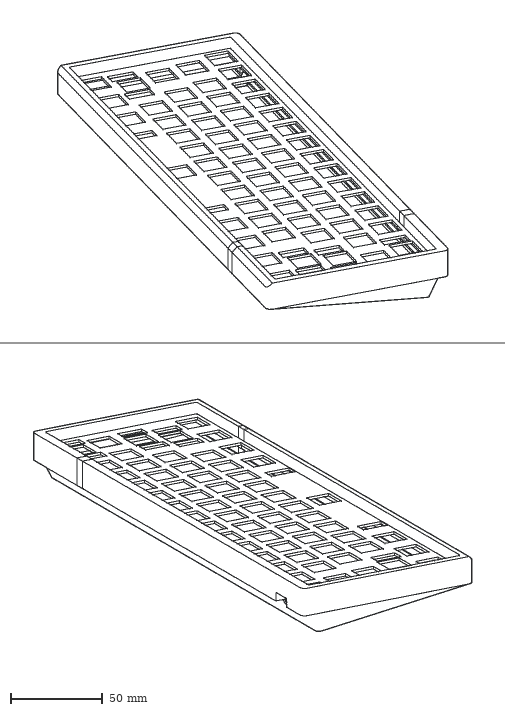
import cadquery as cq

LENGTH = 294.8
DEPTH = 108.2
HEIGHT = 27.5

FRAME_BOTTOM = 11.5
CORNER_RADIUS = 3.0
FRONT_CHAMFER = 3.0
SIDE_GAP = 0.5
REAR_GAP = 0.3
OPENING_RADIUS = 1.0

BAND_X = 95.2
BAND_WIDTH = 6.0

KEY_QUARTERS = [
    [4] * 13 + [8],
    [6] + [4] * 12 + [6],
    [7] + [4] * 11 + [9],
    [9] + [4] * 10 + [11],
    [5] * 3 + [25] + [5] * 4,
]
COLUMNS = 15
ROWS = len(KEY_QUARTERS)
PLATE_LENGTH = 285.5
KEY_PITCH = PLATE_LENGTH / COLUMNS
KEY_CUTOUT = 14.0
STABILIZED_QUARTERS = 8
SPACEBAR_QUARTERS = 25
STABILIZER_WIDTH = 6.8
STABILIZER_DEPTH = 15.0
STABILIZER_DROP = 1.5
STABILIZER_OFFSET = 11.8
SPACEBAR_STABILIZER_OFFSET = 50.0

PLATE_TOP = 21.0
PLATE_THICKNESS = 1.5
PLATE_DEPTH = ROWS * KEY_PITCH
PLATE_BOTTOM = PLATE_TOP - PLATE_THICKNESS

OPENING_LENGTH = PLATE_LENGTH + 2 * SIDE_GAP
OPENING_DEPTH = PLATE_DEPTH + 2 * REAR_GAP
LEDGE_WIDTH = 1.5
LEDGE_BOTTOM = 16.5

BASE_LENGTH = 291.8
BASE_REAR_TOP_Y = 49.5
BASE_REAR_BOTTOM_Y = 43.5
BASE_FRONT_Y = -52.8
BASE_FRONT_BOTTOM = 11.0
BASE_RADIUS = 2.7

FLOOR_Z = 9.5
FLOOR_CHAMFER = 1.0
SLOPE_START_Y = -29.5
SLOPE_BREAK_Y = -38.5
SLOPE_BREAK_RISE = 0.5
SLOPE_END_RISE = 1.6

PORT_X = -124.0
PORT_WIDTH = 11.8
PORT_FRONT_Y = 37.7
PORT_BOTTOM = 8.8
PORT_TOP = 16.5
PORT_CORNER_RADIUS = 1.0


def block(length, depth, bottom, top, x=0.0):
    """Rectangular block between two heights, centred on Y = 0."""
    return cq.Workplane("XY", origin=(x, 0, bottom)).rect(length, depth).extrude(top - bottom)


def make_port():
    """Cutter for the cable port, from inside the cavity out through the rear wall."""
    middle_z = (PORT_BOTTOM + PORT_TOP) / 2
    port = cq.Workplane("XZ", origin=(PORT_X, PORT_FRONT_Y, middle_z))
    port = port.rect(PORT_WIDTH, PORT_TOP - PORT_BOTTOM).extrude(PORT_FRONT_Y - DEPTH / 2)
    return port.edges("|Y").fillet(PORT_CORNER_RADIUS)


def make_ring():
    """Whole frame before it is divided into the two end pieces and the accent bands."""
    ring = block(LENGTH, DEPTH, FRAME_BOTTOM, HEIGHT).edges("|Z").fillet(CORNER_RADIUS)
    front = -DEPTH / 2
    chamfer = (
        cq.Workplane("YZ")
        .moveTo(front, HEIGHT)
        .lineTo(front + FRONT_CHAMFER, HEIGHT)
        .lineTo(front, HEIGHT - FRONT_CHAMFER)
        .close()
        .extrude(LENGTH / 2, both=True)
    )
    opening = block(OPENING_LENGTH, OPENING_DEPTH, FRAME_BOTTOM, HEIGHT).edges("|Z").fillet(OPENING_RADIUS)
    ring = ring.cut(chamfer).cut(opening)
    ledge = block(OPENING_LENGTH, OPENING_DEPTH, LEDGE_BOTTOM, PLATE_BOTTOM)
    inner_length = OPENING_LENGTH - 2 * LEDGE_WIDTH
    inner_depth = OPENING_DEPTH - 2 * LEDGE_WIDTH
    ledge = ledge.cut(block(inner_length, inner_depth, LEDGE_BOTTOM, PLATE_BOTTOM))
    return ring.union(ledge).cut(make_port())


def place_cutouts():
    """Centres of the key cutouts and of the stabilizer cutouts beside the wide keys."""
    key_centers = []
    stabilizer_centers = []
    for row, row_quarters in enumerate(KEY_QUARTERS):
        y = PLATE_DEPTH / 2 - (row + 0.5) * KEY_PITCH
        left = -PLATE_LENGTH / 2
        for quarters in row_quarters:
            key_width = quarters * KEY_PITCH / 4
            x = left + key_width / 2
            left += key_width
            key_centers.append((x, y))
            if quarters >= STABILIZED_QUARTERS:
                is_spacebar = quarters == SPACEBAR_QUARTERS
                offset = SPACEBAR_STABILIZER_OFFSET if is_spacebar else STABILIZER_OFFSET
                stabilizer_centers.append((x - offset, y - STABILIZER_DROP))
                stabilizer_centers.append((x + offset, y - STABILIZER_DROP))
    return key_centers, stabilizer_centers


def make_plate():
    """Flat plate with all key and stabilizer cutouts."""
    key_centers, stabilizer_centers = place_cutouts()
    bottom = cq.Workplane("XY", origin=(0, 0, PLATE_BOTTOM))
    keys = bottom.pushPoints(key_centers).rect(KEY_CUTOUT, KEY_CUTOUT).extrude(PLATE_THICKNESS)
    stabilizers = bottom.pushPoints(stabilizer_centers)
    stabilizers = stabilizers.rect(STABILIZER_WIDTH, STABILIZER_DEPTH).extrude(PLATE_THICKNESS)
    plate = block(PLATE_LENGTH, PLATE_DEPTH, PLATE_BOTTOM, PLATE_TOP)
    return plate.cut(keys).cut(stabilizers)


def make_base():
    """Wedge below the frame, hollowed by the cavity and notched by the port."""
    wedge = (
        cq.Workplane("YZ")
        .moveTo(BASE_REAR_TOP_Y, FRAME_BOTTOM)
        .lineTo(BASE_REAR_BOTTOM_Y, 0)
        .lineTo(BASE_FRONT_Y, BASE_FRONT_BOTTOM)
        .lineTo(BASE_FRONT_Y, FRAME_BOTTOM)
        .close()
        .extrude(BASE_LENGTH / 2, both=True)
    )
    wedge = wedge.faces(">Y").edges("not |X").fillet(BASE_RADIUS)
    half_depth = OPENING_DEPTH / 2
    cavity = (
        cq.Workplane("YZ")
        .moveTo(half_depth, FRAME_BOTTOM)
        .lineTo(half_depth, FLOOR_Z + FLOOR_CHAMFER)
        .lineTo(half_depth - FLOOR_CHAMFER, FLOOR_Z)
        .lineTo(SLOPE_START_Y, FLOOR_Z)
        .lineTo(SLOPE_BREAK_Y, FLOOR_Z + SLOPE_BREAK_RISE)
        .lineTo(-half_depth, FLOOR_Z + SLOPE_END_RISE)
        .lineTo(-half_depth, FRAME_BOTTOM)
        .close()
        .extrude(OPENING_LENGTH / 2, both=True)
    )
    return wedge.cut(cavity).cut(make_port())


ring = make_ring()
band_left = BAND_X - BAND_WIDTH / 2
band_right = BAND_X + BAND_WIDTH / 2
left_length = band_left + LENGTH / 2
right_length = LENGTH / 2 - band_right

left_frame = ring.intersect(block(left_length, DEPTH, 0, HEIGHT, band_left - left_length / 2))
right_frame = ring.intersect(block(right_length, DEPTH, 0, HEIGHT, band_right + right_length / 2))
bands = ring.intersect(block(BAND_WIDTH, DEPTH, 0, HEIGHT, BAND_X)).solids()
plate = make_plate()
base = make_base()

result = cq.Compound.makeCompound(
    [left_frame.val(), right_frame.val(), *bands.vals(), plate.val(), base.val()]
)